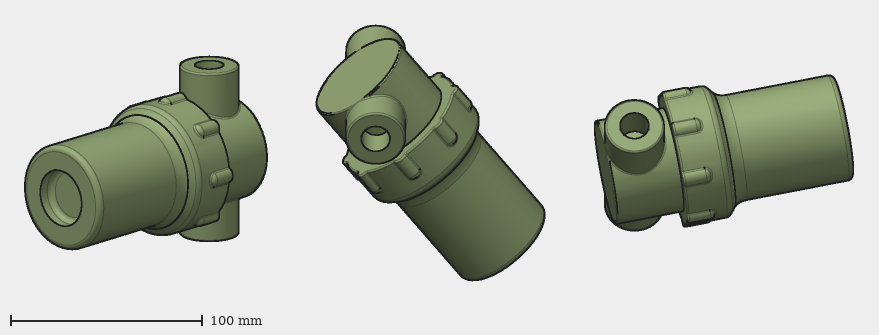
import cadquery as cq
import math

FULL_TURN = 360.0


port_diameter = 31.0
port_bore_diameter = 15.0
port_top = 48.0
port_bottom = -44.0
port_rim_fillet = 1.0
port_root_fillet = 1.0

head_radius = 27.5
head_length = 36.0
head_back_fillet = 0.75
port_to_back_gap = 0.02
head_back = port_diameter / 2 + port_to_back_gap

nut_radius = 35.0
nut_length = 27.0
nut_back_fillet = 1.0
shoulder_fillet = 4.0
shoulder_start = 21.4
cone_angle = math.radians(50)

bowl_radius = 28.0
total_length = 127.0
flare_radius = 10.0
flare_length = 6.5
bowl_end_fillet = 3.0
recess_radius = 15.0
recess_depth = 8.0
recess_fillet = 3.0

rib_count = 8
rib_tip_radius = 37.5
rib_radius = 4.25
rib_length = 15.0
rib_end_fillet = 2.75
rib_root_fillet = 1.0

nut_back = head_back - head_length
nut_front = nut_back - nut_length
bowl_front = head_back - total_length


def revolve_about_y(profile):
    return profile.close().revolve(FULL_TURN, (0, 0, 0), (0, 1, 0))


def arc_point(center, radius, angle):
    """Point on a circle in the (radius, Y) plane, angle measured from the radial direction."""
    return (center[0] + radius * math.cos(angle), center[1] + radius * math.sin(angle))


def cylinder_along_y(radius, back, length):
    """Solid cylinder on the main axis, from y = back towards -Y."""
    return cq.Workplane("XZ", origin=(0, back, 0)).circle(radius).extrude(length)


def make_head():
    head = cylinder_along_y(head_radius, head_back, head_length)
    return head.faces(">Y").edges().fillet(head_back_fillet)


def make_port(end_z):
    """Stub from the main axis out to end_z, with its outer rim rounded."""
    port = cq.Workplane("XY").circle(port_diameter / 2).extrude(end_z)
    outer_face = ">Z" if end_z > 0 else "<Z"
    return port.faces(outer_face).edges().fillet(port_rim_fillet)


def make_port_bore(end_z):
    """Bore from the port end down to the cylindrical surface of the head."""
    bore = cq.Workplane("XY").circle(port_bore_diameter / 2).extrude(end_z)
    return bore.cut(cylinder_along_y(head_radius, head_back, head_length))


def make_ported_head():
    head = make_head()
    for end_z in (port_top, port_bottom):
        head = head.union(make_port(end_z))
    head = head.edges("%BSPLINE").fillet(port_root_fillet)
    for end_z in (port_top, port_bottom):
        head = head.cut(make_port_bore(end_z))
    return head


def make_nut():
    shoulder_center = (nut_radius - shoulder_fillet, nut_back - shoulder_start)
    cone_start = arc_point(shoulder_center, shoulder_fillet, -cone_angle)
    cone_end_radius = cone_start[0] - (cone_start[1] - nut_front) * math.tan(cone_angle)
    profile = (
        cq.Workplane("XY")
        .moveTo(0, nut_back)
        .lineTo(nut_radius, nut_back)
        .lineTo(nut_radius, shoulder_center[1])
        .threePointArc(arc_point(shoulder_center, shoulder_fillet, -cone_angle / 2), cone_start)
        .lineTo(cone_end_radius, nut_front)
        .lineTo(0, nut_front)
    )
    return revolve_about_y(profile)


def make_rib():
    """Round bar along the nut, partly sunk into it, with a rounded front end."""
    bar = cylinder_along_y(rib_radius, nut_back, rib_length)
    bar = bar.faces("<Y").edges().fillet(rib_end_fillet)
    return bar.translate((0, 0, rib_tip_radius - rib_radius))


def make_ribbed_nut():
    nut = make_nut()
    rib = make_rib()
    for index in range(rib_count):
        nut = nut.union(rib.rotate((0, 0, 0), (0, 1, 0), index * FULL_TURN / rib_count))
    nut = nut.edges("%BSPLINE").fillet(rib_root_fillet)
    return nut.faces(">Y").edges().fillet(nut_back_fillet)


def make_bowl():
    flare_center = (bowl_radius + flare_radius, nut_front - flare_length)
    flare_angle = math.asin(flare_length / flare_radius)
    flare_top = arc_point(flare_center, flare_radius, math.pi - flare_angle)
    flare_middle = arc_point(flare_center, flare_radius, math.pi - flare_angle / 2)
    profile = (
        cq.Workplane("XY")
        .moveTo(0, nut_front)
        .lineTo(*flare_top)
        .threePointArc(flare_middle, (bowl_radius, flare_center[1]))
        .lineTo(bowl_radius, bowl_front)
        .lineTo(0, bowl_front)
    )
    bowl = revolve_about_y(profile).faces("<Y").edges().fillet(bowl_end_fillet)
    recess = cylinder_along_y(recess_radius, bowl_front + recess_depth, recess_depth)
    recess = recess.faces(">Y").edges().fillet(recess_fillet)
    return bowl.cut(recess)


result = make_ported_head().union(make_ribbed_nut()).union(make_bowl())